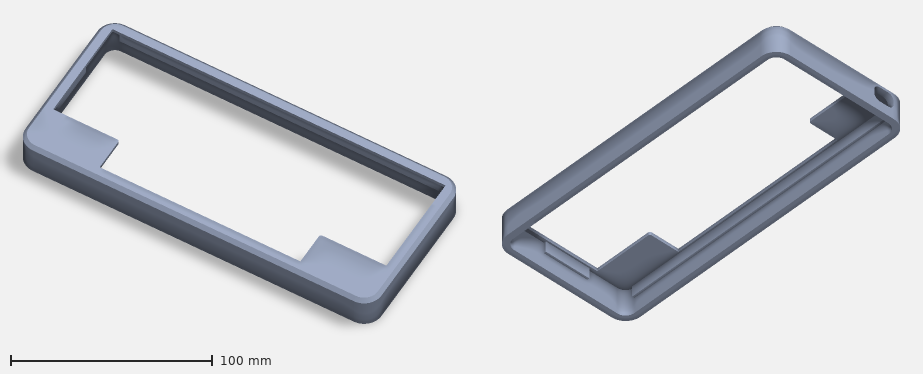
import cadquery as cq

length = 204.5
width = 90.2
height = 18.8
corner_radius = 10.0
top_chamfer = 2.0

wall = 4.0
top_thickness = 2.0
inner_radius = corner_radius - wall
inner_length = length - 2 * wall
inner_width = width - 2 * wall
ceiling = height - top_thickness

rim = 6.5
window_length = length - 2 * rim
window_width = width - 2 * rim
pad_inner_x = 57.7
pad_back_y = -19.2
pad_corner_radius = 1.2

rib_depth = 1.5
rib_bottom = 10.0
rib_height = ceiling - rib_bottom
long_rib_length = length - 2 * corner_radius
short_rib_length = 29.5

port_width = 13.0
port_height = 9.2
port_radius = 3.7
port_y = -28.5
port_z = 10.6


def make_shell():
    outer = (
        cq.Workplane("XY")
        .rect(length, width)
        .extrude(height)
        .edges("|Z")
        .fillet(corner_radius)
        .faces(">Z")
        .chamfer(top_chamfer)
    )
    cavity = (
        cq.Workplane("XY")
        .rect(inner_length, inner_width)
        .extrude(ceiling)
        .edges("|Z")
        .fillet(inner_radius)
    )
    return outer.cut(cavity)


def make_window():
    """Cutter for the T-shaped opening: a wide back part and a narrower front part."""
    back_y = window_width / 2
    outline = [
        (-window_length / 2, back_y),
        (window_length / 2, back_y),
        (window_length / 2, pad_back_y),
        (pad_inner_x, pad_back_y),
        (pad_inner_x, -back_y),
        (-pad_inner_x, -back_y),
        (-pad_inner_x, pad_back_y),
        (-window_length / 2, pad_back_y),
    ]
    window = cq.Workplane("XY").workplane(offset=ceiling).polyline(outline).close().extrude(top_thickness)
    pad_corners = cq.selectors.BoxSelector(
        (-pad_inner_x - pad_corner_radius, pad_back_y - pad_corner_radius, 0),
        (pad_inner_x + pad_corner_radius, pad_back_y + pad_corner_radius, height),
    )
    return window.edges("|Z").edges(pad_corners).fillet(pad_corner_radius)


def make_ribs():
    """One rib centred on each inner wall, hanging from the top plate."""
    ribs = cq.Workplane("XY").workplane(offset=rib_bottom)
    rib_x = (inner_length - rib_depth) / 2
    rib_y = (inner_width - rib_depth) / 2
    long_ribs = ribs.pushPoints([(0, -rib_y), (0, rib_y)]).rect(long_rib_length, rib_depth).extrude(rib_height)
    short_ribs = ribs.pushPoints([(-rib_x, 0), (rib_x, 0)]).rect(rib_depth, short_rib_length).extrude(rib_height)
    return long_ribs.union(short_ribs)


def make_port():
    return (
        cq.Workplane("XY")
        .box(wall, port_width, port_height)
        .edges("|X")
        .fillet(port_radius)
        .translate(((wall - length) / 2, port_y, port_z))
    )


result = make_shell().union(make_ribs()).cut(make_window()).cut(make_port())